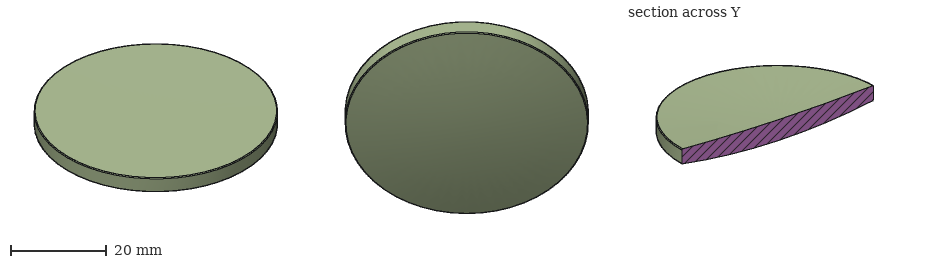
import cadquery as cq

diameter = 50.8
height = 5.55
convex_sag = 2.0
concave_sag = 0.6
bevel = 0.2

radius = diameter / 2
face_radius = radius - bevel
rim_bottom = convex_sag
rim_top = height


def sphere_radius(sag):
    """Radius of the sphere whose cap has this sag across the lens face."""
    return (face_radius**2 + sag**2) / (2 * sag)


def cap_height(sag, r):
    """Height above the cap's pole at distance r from the axis."""
    sphere = sphere_radius(sag)
    return sphere - (sphere**2 - r**2) ** 0.5


mid_radius = face_radius / 2
top_pole = rim_top - concave_sag

section = (
    cq.Workplane("XZ")
    .moveTo(0, 0)
    .threePointArc((mid_radius, cap_height(convex_sag, mid_radius)), (face_radius, rim_bottom))
    .lineTo(radius, rim_bottom + bevel)
    .lineTo(radius, rim_top - bevel)
    .lineTo(face_radius, rim_top)
    .threePointArc((mid_radius, top_pole + cap_height(concave_sag, mid_radius)), (0, top_pole))
    .close()
)

result = section.revolve(360, (0, 0, 0), (0, 1, 0))